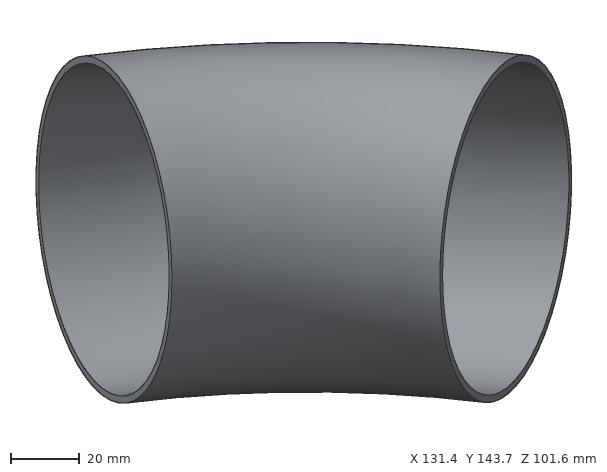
import cadquery as cq

OUTER_DIAMETER = 101.6
WALL_THICKNESS = 2.11
BEND_RADIUS = 1.5 * OUTER_DIAMETER
BEND_ANGLE = 45.0

outer_radius = OUTER_DIAMETER / 2
inner_radius = outer_radius - WALL_THICKNESS


def tube_elbow():
    """Ring section in the XZ plane, swept toward +Y about a vertical axis on the +X side."""
    ring = cq.Workplane("XZ").circle(outer_radius).circle(inner_radius)
    axis_start = (BEND_RADIUS, 0)
    axis_end = (BEND_RADIUS, -1)
    return ring.revolve(BEND_ANGLE, axis_start, axis_end)


result = tube_elbow()